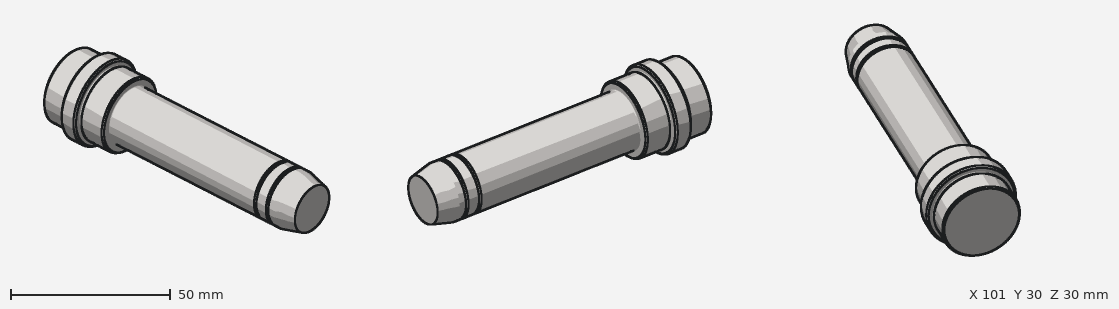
import cadquery as cq
import math

LENGTH = 101.0
HEAD_RADIUS = 26.0 / 2
FLANGE_RADIUS = 30.0 / 2
SHAFT_RADIUS = 20.0 / 2

HEAD_END = 25.0
HEAD_CHAMFER = 0.5
FLANGE_START = 9.0
FLANGE_END = 15.0
FLANGE_CHAMFER = 0.6
SHOULDER_CHAMFER_LENGTH = 0.6
SHOULDER_CHAMFER_DEPTH = 0.5

SHAFT_FILLET = 0.4
NOSE_LENGTH = 7.3
NOSE_TIP_RADIUS = 8.2

GROOVE_WIDTH = 0.9
GROOVE_DEPTH = 0.4
SHAFT_GROOVE_STARTS = (85.5, 90.5)


def revolve_about_x(profile):
    """Close a profile drawn as (x, radius) and turn it around the X axis."""
    return profile.close().revolve(360, (0, 0, 0), (1, 0, 0))


def add_groove(profile, start, surface_radius):
    """Run the profile along the surface to a groove, then through its arc."""
    bottom = (start + GROOVE_WIDTH / 2, surface_radius - GROOVE_DEPTH)
    end = (start + GROOVE_WIDTH, surface_radius)
    return profile.lineTo(start, surface_radius).threePointArc(bottom, end)


def make_head():
    """Stepped head with a groove on each side of its flange."""
    flange_edge_radius = FLANGE_RADIUS - FLANGE_CHAMFER
    profile = (
        cq.Workplane("XY")
        .moveTo(0, 0)
        .lineTo(0, HEAD_RADIUS - HEAD_CHAMFER)
        .lineTo(HEAD_CHAMFER, HEAD_RADIUS)
    )
    profile = add_groove(profile, FLANGE_START - GROOVE_WIDTH, HEAD_RADIUS)
    profile = (
        profile.lineTo(FLANGE_START, flange_edge_radius)
        .lineTo(FLANGE_START + FLANGE_CHAMFER, FLANGE_RADIUS)
        .lineTo(FLANGE_END - FLANGE_CHAMFER, FLANGE_RADIUS)
        .lineTo(FLANGE_END, flange_edge_radius)
    )
    profile = add_groove(profile, FLANGE_END, HEAD_RADIUS)
    profile = (
        profile.lineTo(HEAD_END - SHOULDER_CHAMFER_LENGTH, HEAD_RADIUS)
        .lineTo(HEAD_END, HEAD_RADIUS - SHOULDER_CHAMFER_DEPTH)
        .lineTo(HEAD_END, 0)
    )
    return revolve_about_x(profile)


def make_shaft():
    """Grooved shaft with a fillet at the head and a conical nose."""
    fillet_mid_offset = SHAFT_FILLET * (1 - math.sqrt(0.5))
    profile = (
        cq.Workplane("XY")
        .moveTo(HEAD_END, 0)
        .lineTo(HEAD_END, SHAFT_RADIUS + SHAFT_FILLET)
        .threePointArc(
            (HEAD_END + fillet_mid_offset, SHAFT_RADIUS + fillet_mid_offset),
            (HEAD_END + SHAFT_FILLET, SHAFT_RADIUS),
        )
    )
    for start in SHAFT_GROOVE_STARTS:
        profile = add_groove(profile, start, SHAFT_RADIUS)
    profile = (
        profile.lineTo(LENGTH - NOSE_LENGTH, SHAFT_RADIUS)
        .lineTo(LENGTH, NOSE_TIP_RADIUS)
        .lineTo(LENGTH, 0)
    )
    return revolve_about_x(profile)


result = make_head().union(make_shaft())